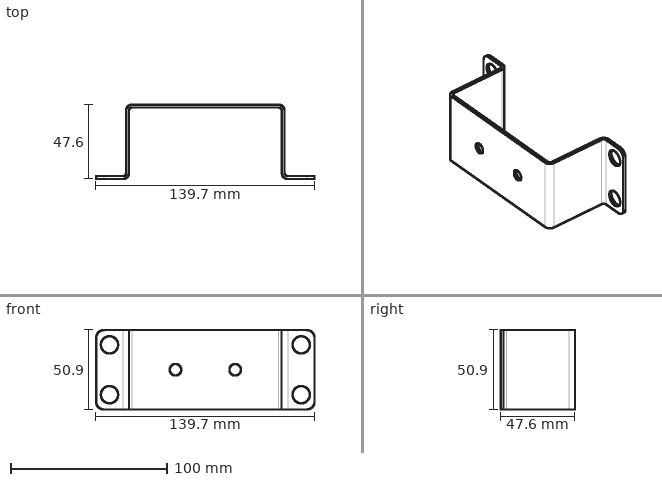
import cadquery as cq

length = 139.7
depth = 47.6
height = 50.9

thickness = 2.0
inner_bend_radius = 2.0
outer_bend_radius = inner_bend_radius + thickness
channel_width = 101.4

ear_corner_radius = 5.0
ear_hole_diameter = 10.9
ear_hole_spacing_x = 122.5
ear_hole_spacing_z = 31.9

web_hole_diameter = 7.3
web_hole_spacing = 38.1

front_y = -depth / 2
back_y = depth / 2
wall_outer_x = channel_width / 2
wall_inner_x = wall_outer_x - thickness


def block(x_size, y_size, x_center, y_center):
    """Full-height block centered on Z = 0."""
    return cq.Workplane("XY").box(x_size, y_size, height).translate((x_center, y_center, 0))


def make_hat_section():
    """Bent strip: the filled channel with ears, minus the channel's inside."""
    ears = block(length, thickness, 0, front_y + thickness / 2)
    channel = block(channel_width, depth, 0, 0)
    cavity_depth = depth - thickness
    cavity = block(2 * wall_inner_x, cavity_depth, 0, front_y + cavity_depth / 2)
    return ears.union(channel).cut(cavity)


def round_bends(body):
    """Round both faces of the web bends and of the ear bends."""
    bends = (
        (wall_outer_x, back_y, outer_bend_radius),
        (wall_inner_x, back_y - thickness, inner_bend_radius),
        (wall_inner_x, front_y, outer_bend_radius),
        (wall_outer_x, front_y + thickness, inner_bend_radius),
    )
    for x, y, radius in bends:
        for side in (-1, 1):
            edge = cq.selectors.NearestToPointSelector((side * x, y, 0))
            body = body.edges("|Z").edges(edge).fillet(radius)
    return body


def hole_cutter(points, diameter, start_y, end_y):
    """Cylinders along Y at (x, z) points."""
    start_plane = cq.Plane(origin=(0, start_y, 0), xDir=(1, 0, 0), normal=(0, -1, 0))
    return (
        cq.Workplane(start_plane)
        .pushPoints(points)
        .circle(diameter / 2)
        .extrude(start_y - end_y)
    )


bracket = round_bends(make_hat_section())

bracket = bracket.edges("|Y").edges("<X or >X").fillet(ear_corner_radius)

ear_hole_points = [
    (x_side * ear_hole_spacing_x / 2, z_side * ear_hole_spacing_z / 2)
    for x_side in (-1, 1)
    for z_side in (-1, 1)
]
bracket = bracket.cut(hole_cutter(ear_hole_points, ear_hole_diameter, front_y + thickness, front_y))

web_hole_points = [(side * web_hole_spacing / 2, 0) for side in (-1, 1)]
bracket = bracket.cut(hole_cutter(web_hole_points, web_hole_diameter, back_y, back_y - thickness))

result = bracket